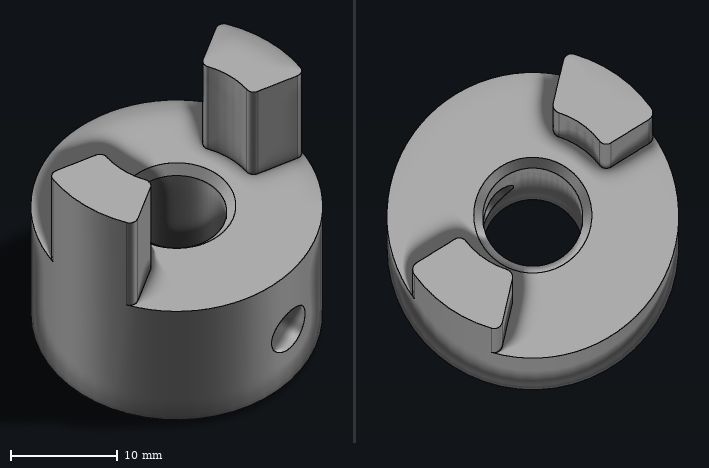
import cadquery as cq
import math

hub_diameter = 27.432
hub_height = 15.62
hub_chamfer = 0.8
bore_diameter = 9.4
bore_chamfer = 0.85

overall_height = 26.85
jaw_inner_radius = 7.9
jaw_angle = 45.0
jaw_corner_radius = 0.8
jaw_directions = (90.0, 270.0)

screw_hole_diameter = 5.0
screw_hole_z = hub_height / 2

hub_radius = hub_diameter / 2
jaw_height = overall_height - hub_height
clearance_radius = hub_diameter


def polar_point(radius, angle):
    """Point at the given radius and angle (degrees) from the hub axis."""
    radians = math.radians(angle)
    return radius * math.cos(radians), radius * math.sin(radians)


def make_blank():
    """Full-height cylinder with a chamfered bottom rim."""
    return cq.Workplane("XY").circle(hub_radius).extrude(overall_height).faces("<Z").chamfer(hub_chamfer)


def make_jaw_sector(direction):
    """Sharp-edged ring sector above the hub, reaching past the hub's outside."""
    start = direction - jaw_angle / 2
    end = direction + jaw_angle / 2
    return (
        cq.Workplane("XY")
        .workplane(offset=hub_height)
        .moveTo(*polar_point(jaw_inner_radius, start))
        .lineTo(*polar_point(clearance_radius, start))
        .threePointArc(polar_point(clearance_radius, direction), polar_point(clearance_radius, end))
        .lineTo(*polar_point(jaw_inner_radius, end))
        .threePointArc(polar_point(jaw_inner_radius, direction), polar_point(jaw_inner_radius, start))
        .close()
        .extrude(jaw_height)
    )


def make_jaw_clearance():
    """Everything to remove above the hub: a disc wider than the hub, less the jaw sectors."""
    clearance = (
        cq.Workplane("XY")
        .workplane(offset=hub_height)
        .circle(clearance_radius)
        .extrude(jaw_height)
    )
    for direction in jaw_directions:
        clearance = clearance.cut(make_jaw_sector(direction))
    return clearance


def round_jaw_corners(body):
    """Round the four upright edges of each jaw."""
    jaw_zone = cq.selectors.BoxSelector(
        (-hub_diameter, -hub_diameter, hub_height),
        (hub_diameter, hub_diameter, overall_height),
    )
    return body.edges("|Z").edges(jaw_zone).fillet(jaw_corner_radius)


def make_bore():
    """Through bore with a countersunk mouth at the jaw end."""
    bore_radius = bore_diameter / 2
    return (
        cq.Workplane("XZ")
        .lineTo(bore_radius, 0)
        .lineTo(bore_radius, hub_height - bore_chamfer)
        .lineTo(bore_radius + bore_chamfer, hub_height)
        .lineTo(0, hub_height)
        .close()
        .revolve(360, (0, 0, 0), (0, 1, 0))
    )


def make_screw_hole():
    """Radial hole from the hub axis out through the +X side."""
    return (
        cq.Workplane("YZ")
        .center(0, screw_hole_z)
        .circle(screw_hole_diameter / 2)
        .extrude(hub_diameter)
    )


result = make_blank().cut(make_jaw_clearance())
result = round_jaw_corners(result)
result = result.cut(make_bore()).cut(make_screw_hole())